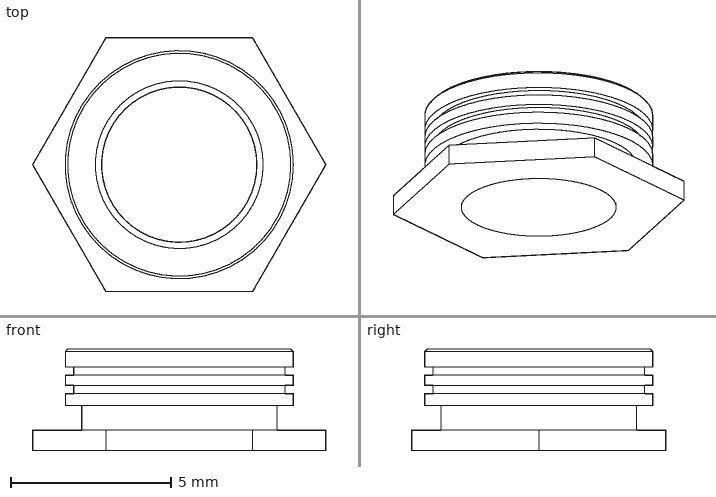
import cadquery as cq
import math

hex_sides = 6
hex_across_flats = 7.92
hex_across_corners = hex_across_flats / math.cos(math.pi / hex_sides)
flange_thickness = 0.635

total_height = 3.17
neck_diameter = 6.1
groove_diameter = 6.6
ring_diameter = 7.11
top_edge_chamfer = 0.08

lower_ring_bottom = 1.40
lower_groove_bottom = 1.77
middle_ring_bottom = 2.03
upper_groove_bottom = 2.35
top_ring_bottom = 2.60

bore_diameter = 4.83
bore_chamfer = 0.2


def make_disc(diameter, bottom, top):
    """Solid round section of the body between two heights."""
    base = cq.Workplane("XY").workplane(offset=bottom)
    return base.circle(diameter / 2).extrude(top - bottom)


def make_flange():
    """Hexagonal plate with two corners on the X axis."""
    return cq.Workplane("XY").polygon(hex_sides, hex_across_corners).extrude(flange_thickness)


def make_body():
    """Neck, then three rings separated by two grooves, stacked along Z."""
    sections = [
        (neck_diameter, flange_thickness, lower_ring_bottom),
        (ring_diameter, lower_ring_bottom, lower_groove_bottom),
        (groove_diameter, lower_groove_bottom, middle_ring_bottom),
        (ring_diameter, middle_ring_bottom, upper_groove_bottom),
        (groove_diameter, upper_groove_bottom, top_ring_bottom),
    ]
    top_ring = make_disc(ring_diameter, top_ring_bottom, total_height)
    body = top_ring.faces(">Z").edges().chamfer(top_edge_chamfer)
    for diameter, bottom, top in sections:
        body = body.union(make_disc(diameter, bottom, top))
    return body


def cut_bore(part):
    """Through bore with a chamfered mouth at the top."""
    bored = part.cut(make_disc(bore_diameter, 0, total_height))
    inner_edge = cq.selectors.RadiusNthSelector(0)
    return bored.faces(">Z").edges(inner_edge).chamfer(bore_chamfer)


result = cut_bore(make_flange().union(make_body()))